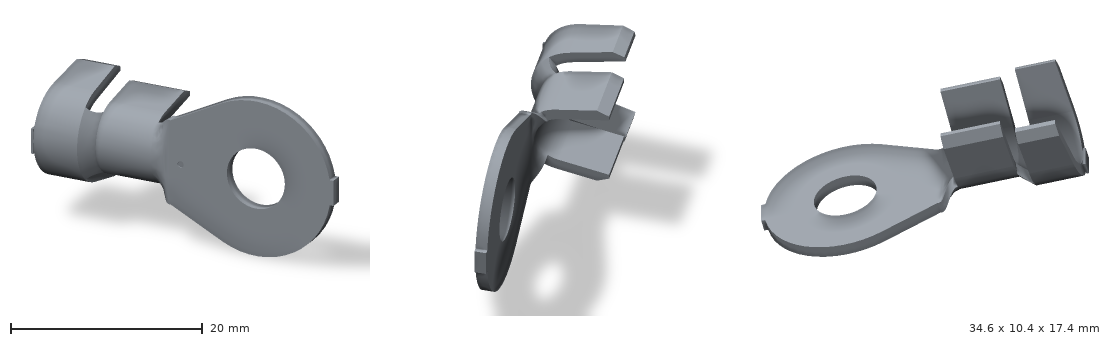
import cadquery as cq
import math


THICKNESS = 1.27

RING_RADIUS = 8.72
STUD_HOLE_DIAMETER = 6.75
TONGUE_START_X = -10.13
TONGUE_SHOULDER_X = -9.92
TONGUE_START_HALF_WIDTH = 4.76
DIMPLE_X = -8.78
DIMPLE_DIAMETER = 0.7
DIMPLE_DEPTH = 0.1

TAB_WIDTH = 2.84
RING_TAB_ROOT_FILLET = 0.1
RING_TAB_END_X = 9.04
OVERALL_LENGTH = 34.61
GRIP_TAB_END_X = RING_TAB_END_X - OVERALL_LENGTH

BARREL_START_X = -18.68
BARREL_END_X = -12.27
BARREL_RADIUS = 4.06
BARREL_FLARE = 9.8
BARREL_TOP_Y = 9.14
BARREL_BEVEL_Y = 7.83
BARREL_TIP_LAND = 0.52

GRIP_END_X = -20.22
GRIP_BOTTOM_Y = -THICKNESS
GRIP_RADIUS = 5.28
GRIP_FLARE = 12.7
GRIP_TOP_Y = 8.91
GRIP_BEVEL_Y = 7.53
GRIP_TIP_LAND = 0.55
GRIP_MOUTH_BOTTOM_X = -25.33
GRIP_MOUTH_TOP_X = -24.53

NECK_STEPS = 6
NECK_GRIP_HALF_WIDTH = 4.10
NECK_BARREL_HALF_WIDTH = 3.40


def u_channel(start_x, end_x, bottom_y, radius, flare, bevel_y, tip_inner, tip_outer):
    """Extrude a U strip: a round bottom, two flared legs and bevelled leg tips.

    bevel_y is where the outer leg face ends; the tip corners are (Y, Z) points of the +Z leg.
    """
    angle = math.radians(flare)
    center_y = bottom_y + radius
    inner_radius = radius - THICKNESS

    outer_tangent = (center_y - radius * math.sin(angle), radius * math.cos(angle))
    inner_tangent = (center_y - inner_radius * math.sin(angle), inner_radius * math.cos(angle))
    bevel_z = outer_tangent[1] + (bevel_y - outer_tangent[0]) * math.tan(angle)
    bevel = (bevel_y, bevel_z)

    def mirrored(point):
        return (point[0], -point[1])

    profile = (
        cq.Workplane("YZ", origin=(start_x, 0, 0))
        .moveTo(*outer_tangent)
        .lineTo(*bevel)
        .lineTo(*tip_outer)
        .lineTo(*tip_inner)
        .lineTo(*inner_tangent)
        .threePointArc((bottom_y + THICKNESS, 0), mirrored(inner_tangent))
        .lineTo(*mirrored(tip_inner))
        .lineTo(*mirrored(tip_outer))
        .lineTo(*mirrored(bevel))
        .lineTo(*mirrored(outer_tangent))
        .threePointArc((bottom_y, 0), outer_tangent)
        .close()
    )
    return profile.extrude(end_x - start_x)


def inner_leg_z(y, bottom_y, radius, flare):
    """Z of the inner face of the +Z leg at height y."""
    angle = math.radians(flare)
    inner_radius = radius - THICKNESS
    return inner_radius / math.cos(angle) + (y - bottom_y - radius) * math.tan(angle)


def wire_barrel():
    """Barrel whose leg tips end on a flat land at constant Y."""
    tip_z = inner_leg_z(BARREL_TOP_Y, 0, BARREL_RADIUS, BARREL_FLARE)
    tip_inner = (BARREL_TOP_Y, tip_z)
    tip_outer = (BARREL_TOP_Y, tip_z + BARREL_TIP_LAND)
    return u_channel(
        BARREL_START_X, BARREL_END_X, 0, BARREL_RADIUS, BARREL_FLARE, BARREL_BEVEL_Y, tip_inner, tip_outer
    )


def insulation_grip():
    """Grip whose leg tips end square to the legs, with a sloping mouth and a tab at the bottom."""
    angle = math.radians(GRIP_FLARE)
    tip_z = inner_leg_z(GRIP_TOP_Y, GRIP_BOTTOM_Y, GRIP_RADIUS, GRIP_FLARE)
    tip_inner = (GRIP_TOP_Y, tip_z)
    tip_outer = (
        GRIP_TOP_Y - GRIP_TIP_LAND * math.sin(angle),
        tip_z + GRIP_TIP_LAND * math.cos(angle),
    )
    channel = u_channel(
        GRIP_TAB_END_X, GRIP_END_X, GRIP_BOTTOM_Y, GRIP_RADIUS, GRIP_FLARE, GRIP_BEVEL_Y, tip_inner, tip_outer
    )
    side_outline = (
        cq.Workplane("XY")
        .moveTo(GRIP_MOUTH_BOTTOM_X, GRIP_BOTTOM_Y)
        .lineTo(GRIP_END_X, GRIP_BOTTOM_Y)
        .lineTo(GRIP_END_X, GRIP_TOP_Y)
        .lineTo(GRIP_MOUTH_TOP_X, GRIP_TOP_Y)
        .close()
        .extrude(2 * GRIP_RADIUS, both=True)
    )
    mouth_slope = (GRIP_MOUTH_TOP_X - GRIP_MOUTH_BOTTOM_X) / (GRIP_TOP_Y - GRIP_BOTTOM_Y)
    tab = (
        cq.Workplane("XY")
        .moveTo(GRIP_TAB_END_X, GRIP_BOTTOM_Y)
        .lineTo(GRIP_MOUTH_BOTTOM_X, GRIP_BOTTOM_Y)
        .lineTo(GRIP_MOUTH_BOTTOM_X + mouth_slope * THICKNESS, GRIP_BOTTOM_Y + THICKNESS)
        .lineTo(GRIP_TAB_END_X, GRIP_BOTTOM_Y + THICKNESS)
        .close()
        .extrude(TAB_WIDTH / 2, both=True)
    )
    return channel.intersect(side_outline).union(tab)


def arc_section(x, bottom_y, radius, half_width):
    """Closed curved-strip wire at x, with radial ends; half_width is measured on the outer face."""
    angle = math.asin(half_width / radius)
    inner_radius = radius - THICKNESS
    center_y = bottom_y + radius
    outer_y = center_y - radius * math.cos(angle)
    inner_y = center_y - inner_radius * math.cos(angle)
    inner_half_width = inner_radius * math.sin(angle)
    return (
        cq.Workplane("YZ", origin=(x, 0, 0))
        .moveTo(outer_y, -half_width)
        .threePointArc((bottom_y, 0), (outer_y, half_width))
        .lineTo(inner_y, inner_half_width)
        .threePointArc((bottom_y + THICKNESS, 0), (inner_y, -inner_half_width))
        .close()
        .val()
    )


def blend(start, end, fraction):
    return start + (end - start) * fraction


def grip_neck():
    """Curved strip stepping from the grip bottom to the barrel bottom, with concave side edges."""
    sections = []
    for step in range(NECK_STEPS + 1):
        t = step / NECK_STEPS
        x = blend(GRIP_END_X, BARREL_START_X, t)
        bottom_y = blend(GRIP_BOTTOM_Y, 0, t)
        radius = blend(GRIP_RADIUS, BARREL_RADIUS, t)
        half_width = blend(NECK_BARREL_HALF_WIDTH, NECK_GRIP_HALF_WIDTH, (1 - t) ** 2)
        sections.append(arc_section(x, bottom_y, radius, half_width))
    return cq.Workplane(cq.Solid.makeLoft(sections))


def tongue_neck():
    """Strip that unrolls from the barrel arc to the flat tongue while widening along an S curve."""
    start_angle = math.asin(NECK_BARREL_HALF_WIDTH / BARREL_RADIUS)
    sections = []
    for step in range(NECK_STEPS):
        t = step / NECK_STEPS
        ease = (1 - math.cos(math.pi * t)) / 2
        half_width = blend(NECK_BARREL_HALF_WIDTH, TONGUE_START_HALF_WIDTH, ease)
        radius = half_width / math.sin(blend(start_angle, 0, ease))
        x = blend(BARREL_END_X, TONGUE_START_X, t)
        sections.append(arc_section(x, 0, radius, half_width))
    flat_end = (
        cq.Workplane("YZ", origin=(TONGUE_START_X, 0, 0))
        .moveTo(0, -TONGUE_START_HALF_WIDTH)
        .lineTo(0, TONGUE_START_HALF_WIDTH)
        .lineTo(THICKNESS, TONGUE_START_HALF_WIDTH)
        .lineTo(THICKNESS, -TONGUE_START_HALF_WIDTH)
        .close()
        .val()
    )
    sections.append(flat_end)
    return cq.Workplane(cq.Solid.makeLoft(sections))


def ring_tongue():
    """Flat ring with sides tangent to its rim, the stud hole, an end tab and a small dimple."""
    corner_distance = math.hypot(TONGUE_SHOULDER_X, TONGUE_START_HALF_WIDTH)
    corner_angle = math.atan2(TONGUE_START_HALF_WIDTH, TONGUE_SHOULDER_X)
    tangent_angle = corner_angle - math.acos(RING_RADIUS / corner_distance)
    tangent_x = RING_RADIUS * math.cos(tangent_angle)
    tangent_z = RING_RADIUS * math.sin(tangent_angle)

    front = cq.Workplane("XZ")
    plate = (
        front.moveTo(TONGUE_START_X, -TONGUE_START_HALF_WIDTH)
        .lineTo(TONGUE_SHOULDER_X, -TONGUE_START_HALF_WIDTH)
        .lineTo(tangent_x, -tangent_z)
        .threePointArc((RING_RADIUS, 0), (tangent_x, tangent_z))
        .lineTo(TONGUE_SHOULDER_X, TONGUE_START_HALF_WIDTH)
        .lineTo(TONGUE_START_X, TONGUE_START_HALF_WIDTH)
        .close()
        .extrude(-THICKNESS)
    )
    tab = front.center(RING_TAB_END_X / 2, 0).rect(RING_TAB_END_X, TAB_WIDTH).extrude(-THICKNESS)
    stud_hole = front.circle(STUD_HOLE_DIAMETER / 2).extrude(-THICKNESS)
    dimple = front.center(DIMPLE_X, 0).circle(DIMPLE_DIAMETER / 2).extrude(-DIMPLE_DEPTH)

    tab_root_x = math.sqrt(RING_RADIUS**2 - (TAB_WIDTH / 2) ** 2)
    rim_end_x = (tab_root_x + RING_RADIUS) / 2
    root_edges = cq.selectors.BoxSelector(
        (2 * tab_root_x - rim_end_x, 0, -TAB_WIDTH), (rim_end_x, THICKNESS, TAB_WIDTH)
    )
    blank = plate.union(tab).edges("|Y").edges(root_edges).fillet(RING_TAB_ROOT_FILLET)
    return blank.cut(stud_hole).cut(dimple)


result = (
    ring_tongue()
    .union(tongue_neck())
    .union(wire_barrel())
    .union(grip_neck())
    .union(insulation_grip())
)